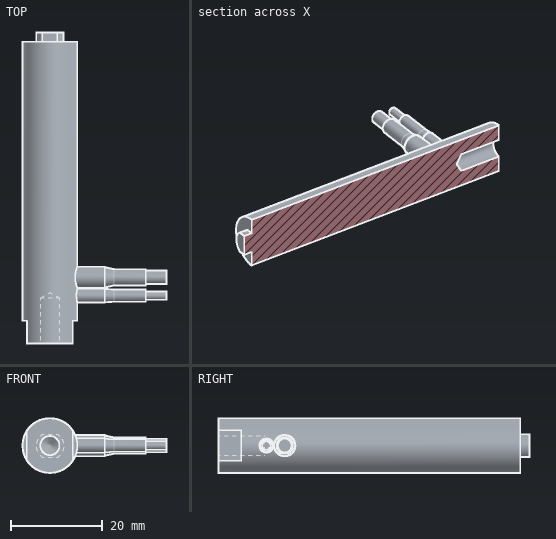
import cadquery as cq
import math

body_diameter = 12.0
body_length = 66.0
body_radius = body_diameter / 2

flats_width = 10.0
flats_length = 5.0

hole_diameter = 4.2
hole_depth = 10.0
drill_tip_angle = 120.0

stud_diameter = 6.0
stud_flats_height = 5.0
stud_length = 2.0

sleeve_end = 12.0
taper_end = 14.0
jacket_end = 21.0
cable_end = 25.5

large_cable_y = 14.5
large_sleeve_diameter = 4.7
large_taper_start_diameter = 4.5
large_jacket_diameter = 3.6
large_core_diameter = 3.0

small_cable_y = 10.5
small_sleeve_diameter = 3.1
small_taper_start_diameter = 3.0
small_jacket_diameter = 2.7
small_core_diameter = 1.9


def cylinder_along_y(diameter, start, length):
    """Cylinder on the body axis from Y = start towards +Y."""
    plane = cq.Plane(origin=(0, start, 0), xDir=(1, 0, 0), normal=(0, 1, 0))
    return cq.Workplane(plane).circle(diameter / 2).extrude(length)


def make_body():
    """Round body with two flats, facing -X and +X, at its front end."""
    body = cylinder_along_y(body_diameter, 0, body_length)
    for side in (-1, 1):
        cutter = cq.Workplane("XY").box(
            body_radius, flats_length, body_diameter, centered=(True, False, True)
        )
        body = body.cut(cutter.translate((side * (flats_width + body_radius) / 2, 0, 0)))
    return body


def make_drilled_hole():
    """Hole volume: a cylinder with a conical drill tip, revolved about the Y axis."""
    radius = hole_diameter / 2
    tip_length = radius / math.tan(math.radians(drill_tip_angle / 2))
    return (
        cq.Workplane("XY")
        .lineTo(radius, 0)
        .lineTo(radius, hole_depth)
        .lineTo(0, hole_depth + tip_length)
        .close()
        .revolve(360, (0, 0, 0), (0, 1, 0))
    )


def make_stud():
    """Short stud with flats facing -Z and +Z."""
    stud = cylinder_along_y(stud_diameter, body_length, stud_length)
    between_flats = cq.Workplane("XY").box(
        stud_diameter, stud_length, stud_flats_height, centered=(True, False, True)
    )
    return stud.intersect(between_flats.translate((0, body_length, 0)))


def make_cable(y, sleeve_diameter, taper_start_diameter, jacket_diameter, core_diameter):
    """Stepped cable along +X: sleeve, taper, jacket and core, starting inside the body."""
    sleeve_start = body_radius / 2
    return (
        cq.Workplane("XY", origin=(0, y, 0))
        .moveTo(sleeve_start, 0)
        .lineTo(sleeve_start, sleeve_diameter / 2)
        .lineTo(sleeve_end, sleeve_diameter / 2)
        .lineTo(sleeve_end, taper_start_diameter / 2)
        .lineTo(taper_end, jacket_diameter / 2)
        .lineTo(jacket_end, jacket_diameter / 2)
        .lineTo(jacket_end, core_diameter / 2)
        .lineTo(cable_end, core_diameter / 2)
        .lineTo(cable_end, 0)
        .close()
        .revolve(360, (0, 0, 0), (1, 0, 0))
    )


large_cable = make_cable(
    large_cable_y,
    large_sleeve_diameter,
    large_taper_start_diameter,
    large_jacket_diameter,
    large_core_diameter,
)
small_cable = make_cable(
    small_cable_y,
    small_sleeve_diameter,
    small_taper_start_diameter,
    small_jacket_diameter,
    small_core_diameter,
)

result = make_body().union(make_stud()).union(large_cable).union(small_cable).cut(make_drilled_hole())